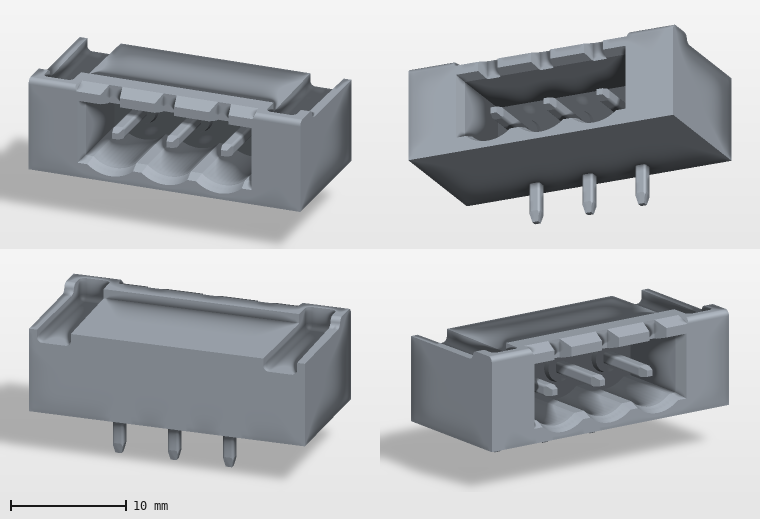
import cadquery as cq
import math


WIDTH = 25.35
DEPTH = 12.0
HEIGHT = 8.55
REAR_HEIGHT = 7.68
FRONT_EDGE_RADIUS = 0.48

FRONT_WALL_DEPTH = 3.02
RAMP_START = 2.3
RAMP_END = 3.32

GROOVE_FLOOR = 6.51
GROOVE_FRONT = 1.05
GROOVE_RADIUS = 0.48
GROOVE_INNER_FRONT = 9.02
GROOVE_OUTER_FRONT = 11.75
GROOVE_INNER_BACK = 8.85
GROOVE_OUTER_BACK = 11.97

FRONT_WALL_WIDTH = GROOVE_INNER_FRONT + GROOVE_OUTER_FRONT

PIN_COUNT = 3
PIN_PITCH = 5.07
PIN_WIDTH = 1.01
PIN_EDGE_RADIUS = 0.23
PIN_TIP_LENGTH = 0.96
PIN_TIP_WIDTH = 0.55
PIN_Z = 3.85
PIN_FRONT = 1.2
PIN_LEG_Y = 10.0
PIN_LEG_BOTTOM = -3.52

CAVITY_HALF_WIDTH = 7.78
CAVITY_TOP = 6.87
CAVITY_BOTTOM = 1.67
CAVITY_DEPTH = 7.85
SCALLOP_RADIUS = 2.97
MOUTH_FLARE = 0.33
MOUTH_FLARE_DEPTH = 1.12

COLLAR_BASE_RADIUS = 1.42
COLLAR_TOP_RADIUS = 1.32
COLLAR_HEIGHT = 0.5

LIP_DEPTH = 1.35
LIP_DROP = FRONT_EDGE_RADIUS
LIP_HALF_WIDTH = 8.21
LIP_END_FLARE = 0.5
NOTCH_HALF_WIDTH_BACK = 0.6
NOTCH_HALF_WIDTH_FRONT = 0.9

pin_positions = [(i - (PIN_COUNT - 1) / 2) * PIN_PITCH for i in range(PIN_COUNT)]


def make_block():
    """Housing block: ramps at both sides, a square step behind the wall between them."""
    ramp_middle = ((RAMP_START + RAMP_END) / 2, (HEIGHT + REAR_HEIGHT) / 2)
    block = (
        cq.Workplane("YZ")
        .moveTo(0, 0)
        .lineTo(DEPTH, 0)
        .lineTo(DEPTH, REAR_HEIGHT)
        .lineTo(RAMP_END, REAR_HEIGHT)
        .tangentArcPoint(ramp_middle, relative=False)
        .tangentArcPoint((RAMP_START, HEIGHT), relative=False)
        .lineTo(0, HEIGHT)
        .close()
        .extrude(WIDTH / 2, both=True)
    )
    front_wall = cq.Workplane("XY").box(
        FRONT_WALL_WIDTH, FRONT_WALL_DEPTH, HEIGHT, centered=(True, False, False)
    )
    behind_wall = cq.Workplane("XY", origin=(0, FRONT_WALL_DEPTH, REAR_HEIGHT)).box(
        FRONT_WALL_WIDTH,
        DEPTH - FRONT_WALL_DEPTH,
        HEIGHT - REAR_HEIGHT,
        centered=(True, False, False),
    )
    block = block.cut(behind_wall).union(front_wall)
    return block.edges("|X and <Y and >Z").fillet(FRONT_EDGE_RADIUS)


def make_groove():
    """Cutter for the groove at +X, with rounded floor edges and front corners."""
    groove = (
        cq.Workplane("XY", origin=(0, 0, GROOVE_FLOOR))
        .polyline([
            (GROOVE_INNER_FRONT, GROOVE_FRONT),
            (GROOVE_OUTER_FRONT, GROOVE_FRONT),
            (GROOVE_OUTER_BACK, DEPTH),
            (GROOVE_INNER_BACK, DEPTH),
        ])
        .close()
        .extrude(HEIGHT - GROOVE_FLOOR)
    )
    groove = groove.faces("<Y").edges("|Z").fillet(GROOVE_RADIUS)
    return groove.faces("<Z").edges("not >Y").fillet(GROOVE_RADIUS)


def cavity_outline(y, offset):
    """Closed wire of the cavity section at depth y, grown outward by offset."""
    side = CAVITY_HALF_WIDTH + offset
    top = CAVITY_TOP + offset
    bottom = CAVITY_BOTTOM - offset
    radius = SCALLOP_RADIUS + offset
    half_chord = math.sqrt(radius**2 - (PIN_Z - bottom) ** 2)
    outline = cq.Workplane("XZ", origin=(0, y, 0)).moveTo(-side, top).lineTo(-side, bottom)
    for x in pin_positions:
        outline = outline.lineTo(x - half_chord, bottom)
        outline = outline.threePointArc((x, PIN_Z - radius), (x + half_chord, bottom))
    return outline.lineTo(side, bottom).lineTo(side, top).close().val()


def make_cavity():
    """Cutter for the cavity and its flared mouth, less the collars that stay."""
    section = cavity_outline(0, 0)
    cavity = cq.Workplane(cq.Solid.extrudeLinear(section, [], cq.Vector(0, CAVITY_DEPTH, 0)))
    mouth = cq.Solid.makeLoft(
        [cavity_outline(0, MOUTH_FLARE), cavity_outline(MOUTH_FLARE_DEPTH, 0)], True
    )
    cavity = cavity.union(cq.Workplane(mouth))
    for x in pin_positions:
        collar = cq.Solid.makeCone(
            COLLAR_BASE_RADIUS,
            COLLAR_TOP_RADIUS,
            COLLAR_HEIGHT,
            cq.Vector(x, CAVITY_DEPTH, PIN_Z),
            cq.Vector(0, -1, 0),
        )
        cavity = cavity.cut(cq.Workplane(collar))
    return cavity


def lip_section(y, floor):
    """Trapezoid wire above the lip, with its lower edge at height floor."""
    rise = 2 * LIP_DROP
    upper_half_width = LIP_HALF_WIDTH + LIP_END_FLARE * rise
    return (
        cq.Workplane("XZ", origin=(0, y, floor))
        .polyline([
            (-LIP_HALF_WIDTH, 0),
            (LIP_HALF_WIDTH, 0),
            (upper_half_width, rise),
            (-upper_half_width, rise),
        ])
        .close()
        .val()
    )


def make_lip_slope():
    """Cutter that slopes the top down toward the mouth."""
    sections = [lip_section(0, HEIGHT - LIP_DROP), lip_section(LIP_DEPTH, HEIGHT)]
    return cq.Workplane(cq.Solid.makeLoft(sections, True))


def make_notch(x):
    """Cutter for the tapered notch through the lip above the pin at x."""
    return (
        cq.Workplane("XY", origin=(x, 0, PIN_Z))
        .polyline([
            (-NOTCH_HALF_WIDTH_FRONT, 0),
            (NOTCH_HALF_WIDTH_FRONT, 0),
            (NOTCH_HALF_WIDTH_BACK, LIP_DEPTH),
            (-NOTCH_HALF_WIDTH_BACK, LIP_DEPTH),
        ])
        .close()
        .extrude(HEIGHT - PIN_Z)
    )


def make_pin_bar(workplane, length):
    """Square bar along the workplane normal, with rounded edges and a tapered tip."""
    taper = math.degrees(math.atan2((PIN_WIDTH - PIN_TIP_WIDTH) / 2, PIN_TIP_LENGTH))
    shank_length = length - PIN_TIP_LENGTH
    bar = workplane.rect(PIN_WIDTH, PIN_WIDTH).extrude(length)
    tip = (
        workplane.workplane(offset=shank_length)
        .rect(PIN_WIDTH, PIN_WIDTH)
        .extrude(PIN_TIP_LENGTH, taper=taper)
    )
    shank = workplane.rect(PIN_WIDTH, PIN_WIDTH).extrude(shank_length)
    long_edges = cq.selectors.ParallelDirSelector(workplane.plane.zDir)
    return bar.edges(long_edges).fillet(PIN_EDGE_RADIUS).intersect(shank.union(tip))


def make_pin(x):
    """Bent pin: a contact toward the front and a solder leg downward."""
    contact_plane = cq.Workplane("XZ", origin=(x, PIN_LEG_Y + PIN_WIDTH / 2, PIN_Z))
    leg_plane = cq.Workplane(
        cq.Plane((x, PIN_LEG_Y, PIN_Z + PIN_WIDTH / 2), xDir=(1, 0, 0), normal=(0, 0, -1))
    )
    contact = make_pin_bar(contact_plane, PIN_LEG_Y + PIN_WIDTH / 2 - PIN_FRONT)
    leg = make_pin_bar(leg_plane, PIN_Z + PIN_WIDTH / 2 - PIN_LEG_BOTTOM)
    return contact.union(leg)


def make_housing(pins):
    """Housing with every cut made and a fitting hole for each pin."""
    groove = make_groove()
    housing = make_block().cut(groove).cut(groove.mirror("YZ"))
    housing = housing.cut(make_lip_slope()).cut(make_cavity())
    for x, pin in zip(pin_positions, pins):
        housing = housing.cut(make_notch(x)).cut(pin)
    return housing


pins = [make_pin(x) for x in pin_positions]
housing = make_housing(pins)

result = cq.Compound.makeCompound([housing.solids().val(), *[pin.solids().val() for pin in pins]])